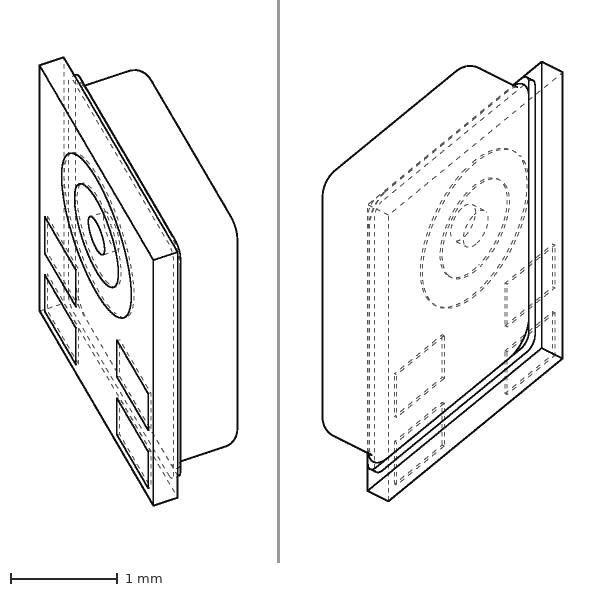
import cadquery as cq
import math


BOARD_WIDTH = 2.65
BOARD_HEIGHT = 3.5
BOARD_THICKNESS = 0.25

PACKAGE_DEPTH = 0.98
LID_WIDTH = 2.35
LID_HEIGHT = 3.2
LID_CORNER_RADIUS = 0.252
LID_TOP_FILLET = 0.15
LID_FLARE_RADIUS = 0.05

BASE_WIDTH = LID_WIDTH + 2 * LID_FLARE_RADIUS
BASE_HEIGHT = LID_HEIGHT + 2 * LID_FLARE_RADIUS
BASE_THICKNESS = 0.075
BASE_CORNER_RADIUS = 0.122

PORT_CENTER_Z = 0.71
PORT_RADIUS = 0.19
PORT_DEPTH = 0.15
RING_OUTER_RADIUS = 0.812
RING_INNER_RADIUS = 0.51

CONTACT_THICKNESS = 0.025
PAD_WIDTH = 0.725
PAD_HEIGHT = 0.52
PAD_EDGE_MARGIN = 0.122
PAD_PITCH_Z = 0.825

PAD_X = BOARD_WIDTH / 2 - PAD_EDGE_MARGIN - PAD_WIDTH / 2
LOWER_PAD_Z = -BOARD_HEIGHT / 2 + PAD_EDGE_MARGIN + PAD_HEIGHT / 2
PAD_CENTERS = [(x, z) for x in (-PAD_X, PAD_X) for z in (LOWER_PAD_Z, LOWER_PAD_Z + PAD_PITCH_Z)]

BASE_Y = BOARD_THICKNESS
LID_Y = BASE_Y + BASE_THICKNESS
LID_DEPTH = PACKAGE_DEPTH - LID_Y


def plate(width, height, y_start, thickness):
    """Rectangular plate centred on the Y axis that grows along +Y from y_start."""
    return cq.Workplane("XY").box(width, thickness, height).translate((0, y_start + thickness / 2, 0))


def disc(radius, thickness):
    """Disc on the port axis that grows along +Y from the port face."""
    return cq.Workplane("XZ").center(0, PORT_CENTER_Z).circle(radius).extrude(-thickness)


def make_pad(x, z):
    return plate(PAD_WIDTH, PAD_HEIGHT, 0, CONTACT_THICKNESS).translate((x, 0, z))


def make_ring():
    return disc(RING_OUTER_RADIUS, CONTACT_THICKNESS).cut(disc(RING_INNER_RADIUS, CONTACT_THICKNESS))


def make_board(contacts):
    """Board with the blind port and a matching recess for every contact."""
    body = plate(BOARD_WIDTH, BOARD_HEIGHT, 0, BOARD_THICKNESS)
    body = body.cut(disc(PORT_RADIUS, PORT_DEPTH))
    for contact in contacts:
        body = body.cut(contact)
    return body


def make_base():
    body = plate(BASE_WIDTH, BASE_HEIGHT, BASE_Y, BASE_THICKNESS)
    return body.edges("|Y").fillet(BASE_CORNER_RADIUS)


def flare_profile():
    """Section of the concave foot, drawn where the lid's +X wall crosses Z = 0."""
    wall_x = LID_WIDTH / 2
    foot_x = wall_x + LID_FLARE_RADIUS
    wall_top = LID_Y + LID_FLARE_RADIUS
    arc_middle_offset = LID_FLARE_RADIUS / math.sqrt(2)
    arc_middle = (foot_x - arc_middle_offset, wall_top - arc_middle_offset)
    return (
        cq.Workplane("XY")
        .moveTo(wall_x, LID_Y)
        .lineTo(foot_x, LID_Y)
        .threePointArc(arc_middle, (wall_x, wall_top))
        .close()
    )


def make_lid():
    """Round-cornered cover with a filleted far face and a flared foot."""
    body = plate(LID_WIDTH, LID_HEIGHT, LID_Y, LID_DEPTH).edges("|Y").fillet(LID_CORNER_RADIUS)
    foot_outline = body.faces("<Y").wires().val()
    body = body.faces(">Y").edges().fillet(LID_TOP_FILLET)
    flare = flare_profile().sweep(cq.Workplane(obj=foot_outline), transition="round")
    return body.union(flare).solids()


pads = [make_pad(x, z) for x, z in PAD_CENTERS]
ring = make_ring()
board = make_board([*pads, ring])
base = make_base()
lid = make_lid()

result = cq.Compound.makeCompound(
    [board.val(), base.val(), lid.val(), ring.val(), *[pad.val() for pad in pads]]
)